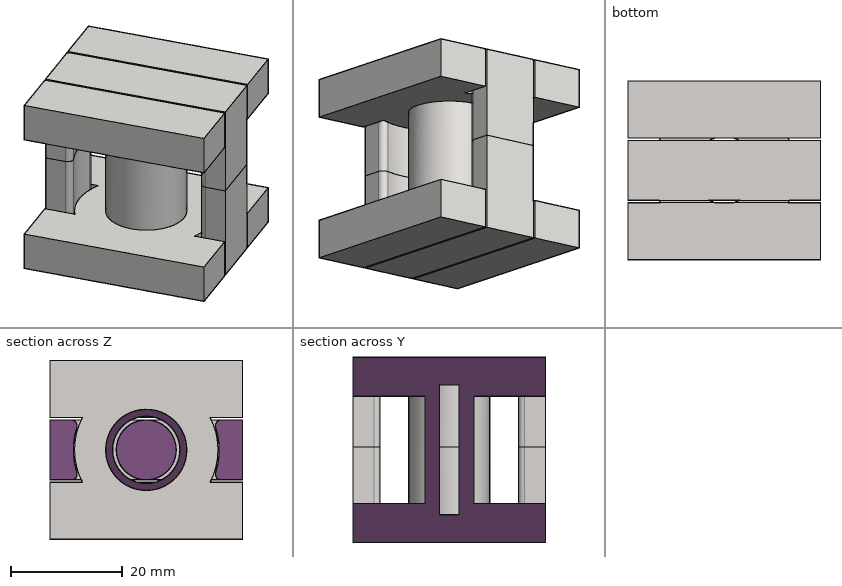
import cadquery as cq
import math

length = 34.5
depth = 32.0
height = 33.2

core_width = 10.75
yoke_thickness = 5.0
leg_bore_radius = 13.05
leg_corner_radius = 1.07
post_radius = core_width / 2
mating_z = 0.55

tube_outer_radius = 7.28
tube_inner_radius = 6.0
flange_radius = 12.85
bar_height = 7.0
bar_clearance = 0.38

flange_thickness = bar_height - yoke_thickness
bar_inner_y = core_width / 2 + bar_clearance
bar_depth = depth / 2 - bar_inner_y
window_height = height - 2 * yoke_thickness


def cylinder(radius, z_bottom, tall):
    return cq.Workplane("XY").workplane(offset=z_bottom).circle(radius).extrude(tall)


def leg_outline(plane):
    """Leg section on +X: concave inner face with rounded front and back corners."""
    half_width = core_width / 2
    corner_y = half_width - leg_corner_radius
    centre_distance = leg_bore_radius + leg_corner_radius
    corner_x = math.sqrt(centre_distance**2 - corner_y**2)
    tangent_x = corner_x * leg_bore_radius / centre_distance
    tangent_y = corner_y * leg_bore_radius / centre_distance
    tip_x = corner_x - leg_corner_radius
    return (
        plane.moveTo(length / 2, -half_width)
        .lineTo(length / 2, half_width)
        .lineTo(corner_x, half_width)
        .threePointArc((tip_x, corner_y), (tangent_x, tangent_y))
        .threePointArc((leg_bore_radius, 0), (tangent_x, -tangent_y))
        .threePointArc((tip_x, -corner_y), (corner_x, -half_width))
        .close()
    )


def make_core_half(z_outer, z_inner, z_mate):
    """Core half from its outer face, past the yoke's inner face, to the mating plane."""
    yoke = (
        cq.Workplane("XY").workplane(offset=z_outer)
        .rect(length, core_width).extrude(z_inner - z_outer)
    )
    leg = leg_outline(cq.Workplane("XY").workplane(offset=z_inner)).extrude(z_mate - z_inner)
    post = cylinder(post_radius, z_inner, z_mate - z_inner)
    return yoke.union(leg).union(leg.mirror("YZ")).union(post)


def make_bobbin():
    body = cylinder(tube_outer_radius, -window_height / 2, window_height)
    for side in (-1, 1):
        flange_z = side * (window_height - flange_thickness) / 2
        body = body.union(cylinder(flange_radius, flange_z - flange_thickness / 2, flange_thickness))
        for end in (-1, 1):
            bar = cq.Workplane("XY").box(length, bar_depth, bar_height).translate((
                0,
                end * (bar_inner_y + bar_depth / 2),
                side * (height - bar_height) / 2,
            ))
            body = body.union(bar)
    bore = cylinder(tube_inner_radius, -window_height / 2, window_height)
    return body.cut(bore)


lower_core = make_core_half(-height / 2, -window_height / 2, mating_z)
upper_core = make_core_half(height / 2, window_height / 2, mating_z)
bobbin = make_bobbin()

result = cq.Compound.makeCompound([lower_core.val(), upper_core.val(), bobbin.val()])